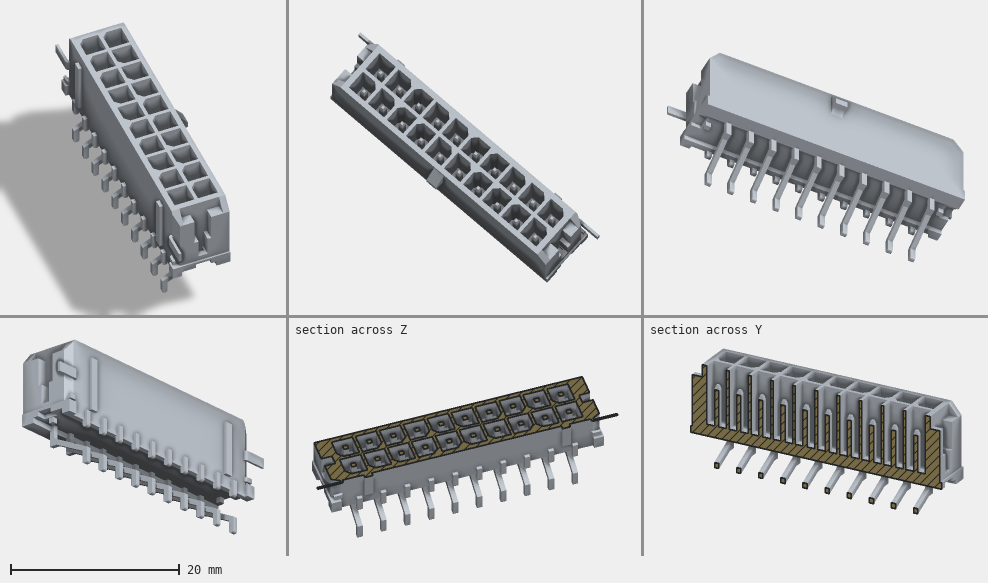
import cadquery as cq


core_half = 15.5
core_depth = 6.93
core_height = 9.85
recess_height = 0.68
recess_front = 0.7
recess_back = 5.15

pin_count = 10
row_length = 27.0
pitch = row_length / (pin_count - 1)
row_front = 2.0
row_back = row_front + pitch
cavity_size = 2.55
cavity_floor = 2.25
key_chamfer = 0.65
pin_width = 0.65
pin_top = 7.53
pin_point_height = 0.55
pin_point_width = 0.35
front_keys = "LLLRRLLRL-"
back_keys = "LRRRLLRRLL"

tail_front = -0.45
tail_thickness = 0.68
tail_tip_radius = 0.23
stub_tip_radius = 0.3
back_tail_bottom = -5.55
tail_heel_bottom = -1.95
tail_heel_front = 4.33
tail_bend_top = -1.05
tail_bend_radius = 0.38
tail_knee_front = -3.55
tail_knee_back = -3.9
front_tail_bottom = -0.83
front_tail_top = 1.25

ear_half = 16.83
ear_height = 8.3
ear_web_front = 1.0
ear_web_back = 0.83
ear_corner_x = 15.8
ear_corner_y = 0.55
flange_half = 17.05
flange_height = 1.6
notch_front = 2.5
notch_back = 4.45
notch_top = 1.25

slot_wide = (2.4, 4.55)
slot_narrow = (2.95, 4.1)
slot_step = 4.75
slot_floor = 2.25
pocket_half = 16.15
pocket_front = 3.0
pocket_back = 3.9

peg_inner = 15.1
peg_outer = 15.75
peg_front = 3.15
peg_back = 3.8

strip_thickness = 0.35
bend_radius = 0.35
tab_tip = 18.82
tab_bottom = 4.6
tab_height = 1.25
small_tab_tip = 16.7
small_tab_root = 15.6
small_tab_front = -0.35
small_tab_bottom = 1.9
small_tab_height = 0.6

rib_center = 12.4
rib_width = 1.05
latch_width = 1.5
latch_reach = 1.4
latch_top = 9.37
latch_nose_top = 7.7
latch_nose_bottom = 6.9
latch_fillet = 0.7


def block(x, y, z):
    """Box between the (low, high) limits along each axis."""
    size = (x[1] - x[0], y[1] - y[0], z[1] - z[0])
    return cq.Workplane("XY").box(*size, centered=False).translate((x[0], y[0], z[0]))


def extrude_along_x(points, center, width):
    """Extrude a closed (Y, Z) outline, centred on an X position."""
    plane = cq.Workplane("YZ", origin=(center - width / 2, 0, 0))
    return plane.polyline(points).close().extrude(width)


def cavity(x, y, key):
    """Square socket opening with its front corner bevelled on the keyed side."""
    half = cavity_size / 2
    cut = block((x - half, x + half), (y - half, y + half), (cavity_floor, core_height))
    if key == "L":
        cut = cut.edges("|Z and <X and <Y").chamfer(key_chamfer)
    elif key == "R":
        cut = cut.edges("|Z and >X and <Y").chamfer(key_chamfer)
    return cut


def contact(x, y):
    """Square pin with a tapered point, rooted in the cavity floor."""
    half = pin_width / 2
    shoulder = pin_top - pin_point_height
    shank = block((x - half, x + half), (y - half, y + half), (recess_height, shoulder))
    point = (
        cq.Workplane("XY", origin=(x, y, shoulder))
        .rect(pin_width, pin_width)
        .workplane(offset=pin_point_height)
        .rect(pin_point_width, pin_point_width)
        .loft()
    )
    return shank.union(point)


def back_tail(x):
    """Tail of the back row: down, forward on a slope, then down again."""
    heel = row_back + tail_thickness / 2
    inner = row_back - tail_thickness / 2
    tip_back = tail_front + tail_thickness
    outline = [
        (heel, recess_height),
        (heel, tail_heel_bottom),
        (tail_heel_front, tail_heel_bottom),
        (tip_back, tail_knee_back),
        (tip_back, back_tail_bottom),
        (tail_front, back_tail_bottom),
        (tail_front, tail_knee_front),
        (inner, tail_bend_top),
        (inner, recess_height),
    ]
    tail = extrude_along_x(outline, x, pin_width).edges("|X and <Z").fillet(tail_tip_radius)
    inner_bend = cq.selectors.NearestToPointSelector((x, inner, tail_bend_top))
    return tail.edges(inner_bend).fillet(tail_bend_radius)


def front_tail(x):
    """Short straight tail of the front row, half sunk in the front wall."""
    half = pin_width / 2
    tail = block(
        (x - half, x + half),
        (tail_front, tail_front + tail_thickness),
        (front_tail_bottom, front_tail_top),
    )
    return tail.edges("|X and <Z").fillet(stub_tip_radius)


def ear():
    """Right-hand ear: flange, slotted wall and sloped corner webs."""
    wall = block((core_half, ear_half), (0, core_depth), (0, core_height))
    slope = (
        cq.Workplane("XZ")
        .polyline([(core_half, core_height), (ear_half, core_height), (ear_half, ear_height)])
        .close()
        .extrude(-core_depth)
    )
    corner = (
        cq.Workplane("XY")
        .polyline([(ear_corner_x, 0), (ear_half, 0), (ear_half, ear_corner_y)])
        .close()
        .extrude(core_height)
    )
    across = (core_half, ear_half)
    between_webs = block(
        across, (ear_web_front, core_depth - ear_web_back), (ear_height, core_height)
    )
    wide = block(across, slot_wide, (slot_step, ear_height))
    narrow = block(across, slot_narrow, (slot_floor, slot_step))
    flange = block((ear_corner_x, flange_half), (tail_front, core_depth), (0, flange_height))
    pocket = block(
        (core_half, pocket_half), (pocket_front, pocket_back), (flange_height, slot_floor)
    )
    notch = block((ear_corner_x, flange_half), (notch_front, notch_back), (0, notch_top))
    solid = wall.cut(slope).cut(corner).cut(between_webs).cut(wide).cut(narrow)
    return solid.union(flange).cut(pocket).cut(notch)


def fitting_tab(root, tip, front, bottom, height):
    """Right-hand metal strip bent out of the front wall, with a rounded bend."""
    levels = (bottom, bottom + height)
    strip = block((root, tip), (front, front + strip_thickness), levels)
    leg = block((root, root + strip_thickness), (front, strip_thickness), levels)
    return strip.union(leg).edges("|Z and <X and <Y").fillet(bend_radius)


def latch():
    """Sloped latch nose on the back wall, filleted underneath."""
    back = core_depth
    nose = back + latch_reach
    return (
        cq.Workplane("YZ", origin=(-latch_width / 2, 0, 0))
        .moveTo(back, latch_top)
        .lineTo(nose, latch_nose_top)
        .lineTo(nose, latch_nose_bottom)
        .lineTo(back + latch_fillet, latch_nose_bottom)
        .radiusArc((back, latch_nose_bottom - latch_fillet), -latch_fillet)
        .close()
        .extrude(latch_width)
    )


def end_fittings():
    """Tabs and rib on the front wall at the right-hand end."""
    main_tab = fitting_tab(core_half, tab_tip, tail_front, tab_bottom, tab_height)
    small_tab = fitting_tab(
        small_tab_root, small_tab_tip, small_tab_front, small_tab_bottom, small_tab_height
    )
    rib = block(
        (rib_center - rib_width / 2, rib_center + rib_width / 2),
        (tail_front, 0),
        (flange_height, ear_height),
    )
    return main_tab.union(small_tab).union(rib)


housing = block((-core_half, core_half), (0, core_depth), (0, core_height))
right_ear = ear()
housing = housing.union(right_ear).union(right_ear.mirror("YZ")).union(latch())
recess = block((-flange_half, flange_half), (recess_front, recess_back), (0, recess_height))
housing = housing.cut(recess)

peg = block((peg_inner, peg_outer), (peg_front, peg_back), (0, recess_height))
right_end = end_fittings().union(peg)
housing = housing.union(right_end).union(right_end.mirror("YZ"))

column_x = [(column - (pin_count - 1) / 2) * pitch for column in range(pin_count)]
cavities = cq.Workplane("XY")
metal = cq.Workplane("XY")
for keys, row_y, tail in ((front_keys, row_front, front_tail), (back_keys, row_back, back_tail)):
    for x, key in zip(column_x, keys):
        cavities = cavities.add(cavity(x, row_y, key))
        metal = metal.add(contact(x, row_y)).add(tail(x))

result = housing.cut(cavities).union(metal)